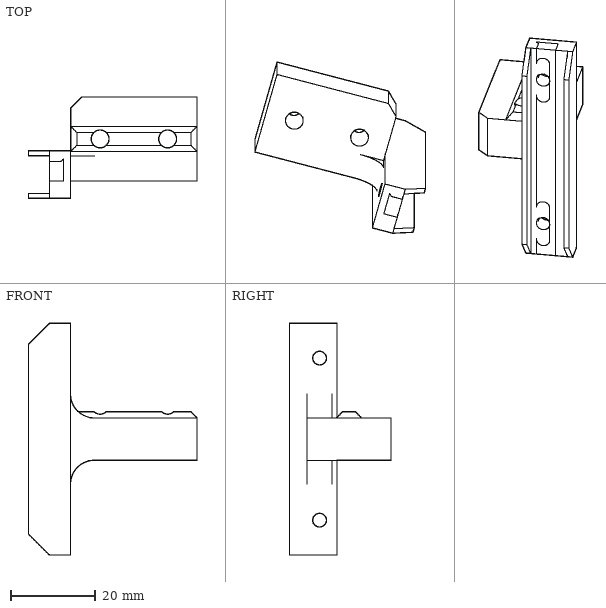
import cadquery as cq

channel_height = 55.0
web_thickness = 5.0
flange_depth = 5.0
flange_thickness = 1.2
channel_width = 11.35

arm_length = 30.0
arm_width = 19.95
arm_height = 10.05
arm_corner_cut = 2.65
arm_offset = 4.1
gusset_radius = 5.6

rail_base_width = 6.0
rail_height = 1.5
rail_hole_diameter = 4.2
rail_hole_pitch = 16.0

mount_hole_diameter = 3.2
mount_hole_pitch = 38.4
boss_length = 11.7

insert_width = 4.6
insert_depth = 3.3
barb_size = 0.6

arm_front_y = -arm_width / 2
channel_front_y = arm_front_y - arm_offset
channel_back_y = channel_front_y + channel_width
flange_inner_y = channel_back_y - flange_thickness
insert_front_y = arm_front_y
insert_back_y = insert_front_y + insert_width
mount_hole_y = insert_back_y - mount_hole_diameter / 2
mount_hole_places = [(mount_hole_y, side * mount_hole_pitch / 2) for side in (-1, 1)]


def make_channel():
    """Upright U channel, open towards -X, with the flange ends cut at 45 degrees."""
    depth = web_thickness + flange_depth
    half = channel_height / 2
    side_outline = [
        (0, -half),
        (-web_thickness, -half),
        (-depth, -half + flange_depth),
        (-depth, half - flange_depth),
        (-web_thickness, half),
        (0, half),
    ]
    block = (
        cq.Workplane("XZ", origin=(0, channel_back_y, 0))
        .polyline(side_outline)
        .close()
        .extrude(channel_width)
    )
    recess = cq.Workplane("XY").box(
        flange_depth, channel_width - 2 * flange_thickness, channel_height
    ).translate((-web_thickness - flange_depth / 2, channel_front_y + channel_width / 2, 0))
    return block.cut(recess)


def make_arm():
    """Plain block reaching out in +X, with its free corner at the channel end cut off."""
    block = cq.Workplane("XY").box(arm_length, arm_width, arm_height)
    block = block.edges("|Z and <X and >Y").chamfer(arm_corner_cut)
    return block.translate((arm_length / 2, 0, 0))


def make_gusset(side):
    """Concave fillet between arm and channel, above (side = 1) or below (side = -1) the arm."""
    arm_z = side * arm_height / 2
    far_z = arm_z + side * gusset_radius
    profile = (
        cq.Workplane("XZ", origin=(0, flange_inner_y, 0))
        .moveTo(0, arm_z)
        .lineTo(gusset_radius, arm_z)
        .radiusArc((0, far_z), side * gusset_radius)
        .close()
    )
    return profile.extrude(flange_inner_y - arm_front_y)


def make_rail():
    """Low rail on top of the arm, sloped on all four sides."""
    return (
        cq.Workplane("XY", origin=(arm_length / 2, 0, arm_height / 2))
        .rect(arm_length, rail_base_width)
        .workplane(offset=rail_height)
        .rect(arm_length - 2 * rail_height, rail_base_width - 2 * rail_height)
        .loft(ruled=True)
    )


def make_rail_holes():
    """Vertical holes through rail and arm."""
    hole_places = [(side * rail_hole_pitch / 2, 0) for side in (-1, 1)]
    return (
        cq.Workplane("XY", origin=(arm_length / 2, 0, -arm_height / 2))
        .pushPoints(hole_places)
        .circle(rail_hole_diameter / 2)
        .extrude(arm_height + rail_height)
    )


def make_mount_holes():
    """Holes through the web along X."""
    return (
        cq.Workplane("YZ", origin=(-web_thickness, 0, 0))
        .pushPoints(mount_hole_places)
        .circle(mount_hole_diameter / 2)
        .extrude(web_thickness)
    )


def make_bosses():
    """Oblong blocks of web material left standing around the mounting holes."""
    return (
        cq.Workplane("YZ", origin=(-web_thickness, 0, 0))
        .pushPoints(mount_hole_places)
        .slot2D(boss_length, mount_hole_diameter, 90)
        .extrude(insert_depth)
    )


def make_insert():
    """Full-height strip set into the web, with a barb on its +Y side, notched around the bosses."""
    front_x = -web_thickness
    back_x = front_x + insert_depth
    section = [
        (front_x, insert_front_y),
        (back_x, insert_front_y),
        (back_x, insert_back_y + barb_size),
        (back_x - barb_size, insert_back_y),
        (front_x, insert_back_y),
    ]
    strip = (
        cq.Workplane("XY", origin=(0, 0, -channel_height / 2))
        .polyline(section)
        .close()
        .extrude(channel_height)
    )
    return strip.cut(make_bosses())


insert = make_insert()

housing = make_channel().union(make_arm()).union(make_rail())
for side in (-1, 1):
    housing = housing.union(make_gusset(side))
housing = housing.cut(make_rail_holes()).cut(insert).cut(make_mount_holes())

result = cq.Compound.makeCompound([*housing.solids().vals(), *insert.solids().vals()])